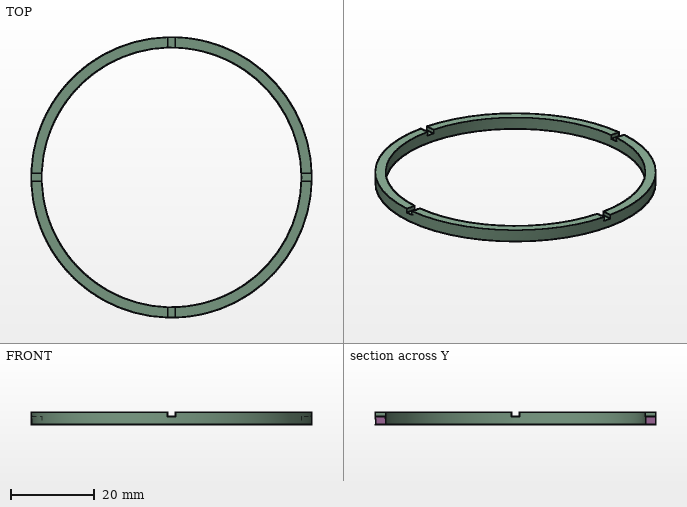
import cadquery as cq

outer_diameter = 67.0
inner_diameter = 62.0
height = 3.0

notch_width = 1.9
notch_depth = 1.0

bar_length = 1.1 * outer_diameter


def make_ring():
    return cq.Workplane("XY").circle(outer_diameter / 2).circle(inner_diameter / 2).extrude(height)


def make_notch_bar(angle):
    bar = cq.Workplane("XY").box(bar_length, notch_width, notch_depth, centered=(True, True, False))
    return bar.translate((0, 0, height - notch_depth)).rotate((0, 0, 0), (0, 0, 1), angle)


result = make_ring()
for angle in (0, 90):
    result = result.cut(make_notch_bar(angle))